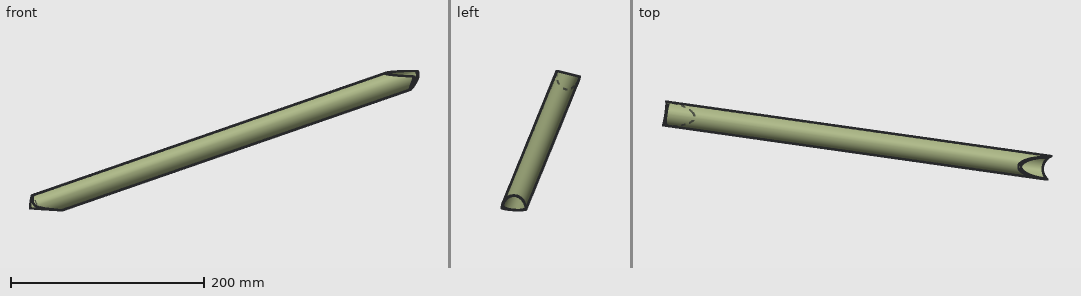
import cadquery as cq

tube_diameter = 25.0
wall = 1.0
low_joint = cq.Vector(1.2, 68.5, 2.5)
high_joint = cq.Vector(400.0, 12.0, 140.5)
end_allowance = 40.3

crossing_direction = cq.Vector(0.9, -0.12, -0.46)
crossing_diameter = tube_diameter
crossing_length = 201.5

post_radius = 14.5
post_throat_x = 393.0
post_y = 11.0
post_height = 241.5

face_origin = (high_joint.x, 0.0, 139.0)
face_rise = 0.25
waste_size = 161.0

axis = high_joint - low_joint
direction = axis.normalized()
blank_length = axis.Length + 2 * end_allowance


def cylinder(start, along, length, diameter):
    return cq.Solid.makeCylinder(diameter / 2, length, start, along)


def make_tube():
    """Hollow blank running past both joints."""
    start = low_joint - direction * end_allowance
    outside = cylinder(start, direction, blank_length, tube_diameter)
    bore = cylinder(start, direction, blank_length, tube_diameter - 2 * wall)
    return cq.Workplane(obj=outside.cut(bore))


def make_crossing_tube():
    along = crossing_direction.normalized()
    start = low_joint - along * (crossing_length / 2)
    return cq.Workplane(obj=cylinder(start, along, crossing_length, crossing_diameter))


def make_post():
    return (
        cq.Workplane("XY")
        .center(post_throat_x + post_radius, post_y)
        .circle(post_radius)
        .extrude(post_height)
    )


def make_face_waste():
    """Block standing on the sloping flat face."""
    face = cq.Plane(origin=face_origin, xDir=(1, 0, 0), normal=(0, -face_rise, 1))
    return cq.Workplane(face).rect(waste_size, waste_size).extrude(waste_size)


tube = make_tube().cut(make_crossing_tube()).cut(make_face_waste()).cut(make_post())

result = cq.Workplane(obj=max(tube.solids().vals(), key=lambda piece: piece.Volume()))